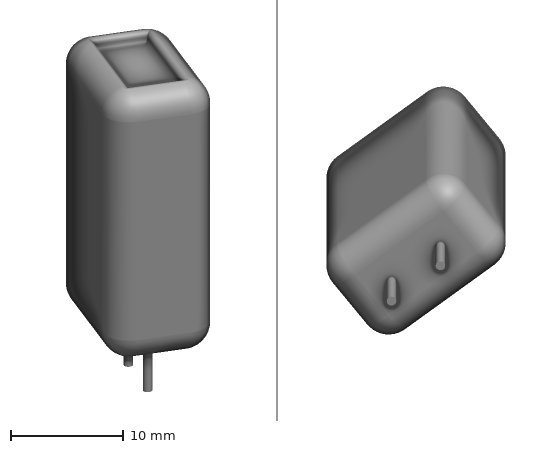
import cadquery as cq
import math

overall_height = 31.48
case_length = 15.02
case_width = 10.0

lead_length = 5.0
lead_diameter = 0.85
lead_pitch = 5.5

edge_radius = 2.5
rim_radius = 0.5
floor_radius = 0.5
cutter_margin = 0.63

center_distance = edge_radius - rim_radius
rim_center_below_top = edge_radius - math.sqrt(center_distance**2 - rim_radius**2)
rim_drop = rim_center_below_top - rim_radius
case_height = overall_height - lead_length + rim_drop
rim_center_z = case_height - rim_center_below_top
floor_z = rim_center_z - floor_radius


def recess_profile(plane, size):
    """Closed S-sided section of the recess across a case side of the given size."""
    wall = size / 2 - edge_radius
    floor = wall - floor_radius
    rim_center = wall + rim_radius

    tangent = wall + edge_radius * rim_radius / center_distance
    tangent_angle = math.acos(rim_radius / center_distance)
    tangent_z = rim_center_z + rim_radius * math.sin(tangent_angle)

    rim_mid_angle = (math.pi + tangent_angle) / 2
    rim_mid = rim_center + rim_radius * math.cos(rim_mid_angle)
    rim_mid_z = rim_center_z + rim_radius * math.sin(rim_mid_angle)
    floor_mid = floor + floor_radius * math.sin(math.pi / 4)
    floor_mid_z = rim_center_z - floor_radius * math.cos(math.pi / 4)

    cutter_top = case_height + cutter_margin
    return (
        cq.Workplane(plane)
        .moveTo(-floor, floor_z)
        .lineTo(floor, floor_z)
        .threePointArc((floor_mid, floor_mid_z), (wall, rim_center_z))
        .threePointArc((rim_mid, rim_mid_z), (tangent, tangent_z))
        .lineTo(tangent, cutter_top)
        .lineTo(-tangent, cutter_top)
        .lineTo(-tangent, tangent_z)
        .threePointArc((-rim_mid, rim_mid_z), (-wall, rim_center_z))
        .threePointArc((-floor_mid, floor_mid_z), (-floor, floor_z))
        .close()
    )


def make_recess_cutter():
    """Two crossing extrusions whose common part has mitred corners."""
    along_width = recess_profile("XZ", case_length).extrude(case_width / 2, both=True)
    along_length = recess_profile("YZ", case_width).extrude(case_length / 2, both=True)
    return along_width.intersect(along_length)


def make_case():
    """Block rounded on every edge, with the recess cut into its top."""
    block = cq.Workplane("XY").box(
        case_length, case_width, case_height, centered=(True, True, False)
    )
    return block.edges().fillet(edge_radius).cut(make_recess_cutter())


def make_lead(x):
    """Straight round lead that meets the underside of the case."""
    return cq.Workplane("XY").center(x, 0).circle(lead_diameter / 2).extrude(-lead_length)


case = make_case()
leads = [make_lead(side * lead_pitch / 2) for side in (-1, 1)]

result = cq.Compound.makeCompound([case.solids().val(), *[lead.val() for lead in leads]])